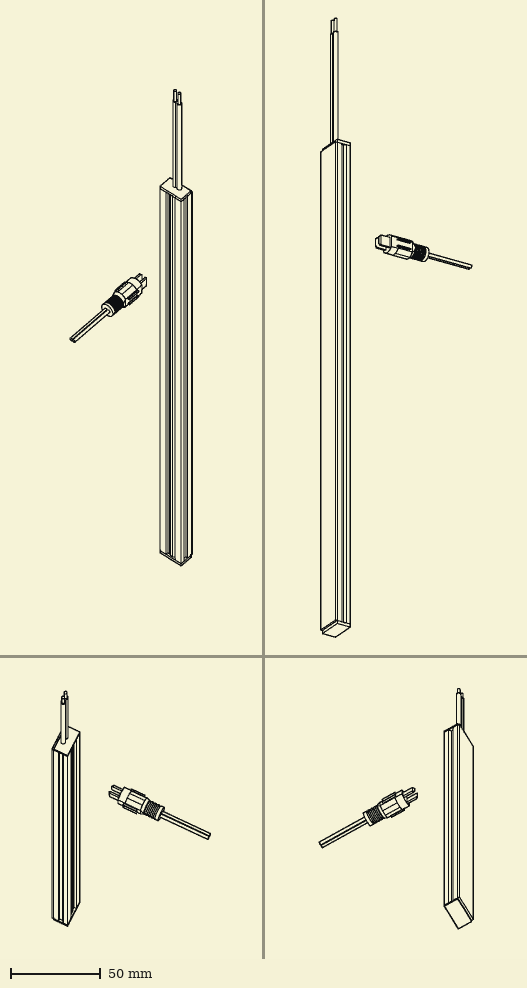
import cadquery as cq
import math

BAR_WIDTH = 15.5
BAR_DEPTH = 10.0
BAR_LENGTH = 300.0
CAP_THICKNESS = 2.0
COVER_THICKNESS = 1.0

FRONT_Y = -BAR_DEPTH / 2
BACK_Y = BAR_DEPTH / 2
SEAM_Y = BACK_Y - COVER_THICKNESS
PROFILE_LENGTH = BAR_LENGTH - 2 * CAP_THICKNESS

CHANNEL_HALF = 3.2
CHANNEL_DEPTH = 1.5
RIDGE_FOOT_HALF = 2.08
RIDGE_TOP_HALF = 0.8
RIDGE_HEIGHT = 0.53

GROOVE_BACK_Y = 0.8
GROOVE_FLOOR_WIDTH = 2.0
GROOVE_FLANK_WIDTH = 1.0
GROOVE_DEPTH = 1.32

OVERALL_LENGTH = 378.0
LEAD_Y = 0.87
LEAD_PITCH = 3.1
LEAD_RADIUS = 1.32
WIRE_RADIUS = 0.85
WIRE_LENGTH = 8.5
LEAD_TOP_Z = OVERALL_LENGTH - WIRE_LENGTH

PLUG_Z = 248.5
BLADE_TIP_Y = -27.5
BLADE_LENGTH = 6.8
NOSE_LENGTH = 4.5
GRIP_LENGTH = 9.5
CONE_LENGTH = 2.0
TAIL_LENGTH = 9.0
PLUG_CABLE_LENGTH = 30.0

NOSE_Y = BLADE_TIP_Y - BLADE_LENGTH
GRIP_Y = NOSE_Y - NOSE_LENGTH
CONE_Y = GRIP_Y - GRIP_LENGTH
TAIL_Y = CONE_Y - CONE_LENGTH
TAIL_END_Y = TAIL_Y - TAIL_LENGTH

NOSE_RADIUS = 5.3
FLAT_HALF = 4.0
TAIL_RADIUS = 4.0
GRIP_TOP_HALF = 1.5
GRIP_SHOULDER_Z = 3.0

WING_HALF_SPAN = 5.3
WING_LENGTH = 8.5
WING_OVERHANG = 0.8
WING_HEIGHT = 4.5
WING_RAIL = 0.45

RIB_GROOVES = 4
RIB_PITCH = 2.0
RIB_GROOVE_WIDTH = 0.95
RIB_GROOVE_DEPTH = 0.5
RIB_OFFSET = 0.5

BLADE_INNER_X = 1.5
BLADE_OUTER_X = 2.5
BLADE_HEIGHT = 6.0
BLADE_TIP_CHAMFER = 0.95

CABLE_PITCH = 2.0
CABLE_RADIUS = 0.95

WEB_RATIO = 0.6


def twin_outline(plane, pitch, radius):
    """Closed outline of two round cores side by side along X, joined by a thin web."""
    half_web = WEB_RATIO * radius
    reach = math.sqrt(radius**2 - half_web**2)
    core_x = pitch / 2
    joint_x = core_x - reach
    return (
        plane.moveTo(-joint_x, half_web)
        .lineTo(joint_x, half_web)
        .threePointArc((core_x + radius, 0), (joint_x, -half_web))
        .lineTo(-joint_x, -half_web)
        .threePointArc((-core_x - radius, 0), (-joint_x, half_web))
        .close()
    )


def make_profile():
    """Extruded section with the front channel and the two side grooves."""
    half_width = BAR_WIDTH / 2
    channel_y = FRONT_Y + CHANNEL_DEPTH
    ridge_y = channel_y - RIDGE_HEIGHT
    floor_x = half_width - GROOVE_DEPTH
    floor_front_y = GROOVE_BACK_Y - GROOVE_FLOOR_WIDTH
    right_half = [
        (RIDGE_TOP_HALF, ridge_y),
        (RIDGE_FOOT_HALF, channel_y),
        (CHANNEL_HALF, channel_y),
        (CHANNEL_HALF, FRONT_Y),
        (half_width, FRONT_Y),
        (half_width, floor_front_y - GROOVE_FLANK_WIDTH),
        (floor_x, floor_front_y),
        (floor_x, GROOVE_BACK_Y),
        (half_width, GROOVE_BACK_Y),
        (half_width, SEAM_Y),
    ]
    left_half = [(-x, y) for x, y in reversed(right_half)]
    base = cq.Workplane("XY").workplane(offset=CAP_THICKNESS)
    return base.polyline(right_half + left_half).close().extrude(PROFILE_LENGTH)


def make_cover():
    """Flat strip on the back of the profile."""
    cover = cq.Workplane("XY").box(BAR_WIDTH, COVER_THICKNESS, PROFILE_LENGTH, centered=(True, False, False))
    return cover.translate((0, SEAM_Y, CAP_THICKNESS))


def make_end_cap(bottom_z):
    """Plate that closes one end of the profile."""
    cap = cq.Workplane("XY").box(BAR_WIDTH, SEAM_Y - FRONT_Y, CAP_THICKNESS, centered=(True, False, False))
    return cap.translate((0, FRONT_Y, bottom_z))


def make_lead():
    plane = cq.Workplane("XY", origin=(0, LEAD_Y, BAR_LENGTH))
    return twin_outline(plane, LEAD_PITCH, LEAD_RADIUS).extrude(LEAD_TOP_Z - BAR_LENGTH)


def make_wire_end(side):
    plane = cq.Workplane("XY", origin=(side * LEAD_PITCH / 2, LEAD_Y, LEAD_TOP_Z))
    return plane.circle(WIRE_RADIUS).extrude(WIRE_LENGTH)


def plug_plane(y):
    """Sketch plane across the plug axis; extrusion runs toward the cable (-Y)."""
    return cq.Workplane("XZ", origin=(0, y, PLUG_Z))


def trim_flats(solid, front_y, length):
    """Cut a round section of the plug to a flat on each side."""
    return solid.intersect(plug_plane(front_y).rect(2 * FLAT_HALF, 2 * NOSE_RADIUS).extrude(length))


def make_nose():
    nose = plug_plane(NOSE_Y).circle(NOSE_RADIUS).extrude(NOSE_LENGTH)
    return trim_flats(nose, NOSE_Y, NOSE_LENGTH)


def make_grip():
    """Eight-sided section behind the nose."""
    corners = [(FLAT_HALF, GRIP_SHOULDER_Z), (GRIP_TOP_HALF, NOSE_RADIUS)]
    upper = corners + [(-x, z) for x, z in reversed(corners)]
    lower = [(-x, -z) for x, z in upper]
    return plug_plane(GRIP_Y).polyline(upper + lower).close().extrude(GRIP_LENGTH)


def make_wing_rails(side):
    """Two thin rails along one side of the plug, with a finger channel between them."""
    rail_x = side * (FLAT_HALF + WING_HALF_SPAN) / 2
    rail_z = (WING_HEIGHT - WING_RAIL) / 2
    rails = plug_plane(GRIP_Y + WING_OVERHANG).pushPoints([(rail_x, rail_z), (rail_x, -rail_z)])
    return rails.rect(WING_HALF_SPAN - FLAT_HALF, WING_RAIL).extrude(WING_LENGTH)


def make_blade(side):
    """Flat contact blade, chamfered at its tip on all edges but the inner one."""
    blade = cq.Workplane("XY").box(
        BLADE_OUTER_X - BLADE_INNER_X, BLADE_LENGTH, BLADE_HEIGHT, centered=(False, False, True)
    )
    blade = blade.faces(">Y").edges(">X or >Z or <Z").chamfer(BLADE_TIP_CHAMFER)
    blade = blade.translate((BLADE_INNER_X, NOSE_Y, PLUG_Z))
    return blade if side > 0 else blade.mirror("YZ")


def make_plug_housing():
    housing = make_nose().union(make_grip())
    for side in (-1, 1):
        housing = housing.union(make_wing_rails(side)).union(make_blade(side))
    return housing


def make_boot():
    """Strain relief behind the grip: a cone, then a round tail with ring grooves."""
    cone = plug_plane(CONE_Y).circle(NOSE_RADIUS).workplane(offset=CONE_LENGTH).circle(TAIL_RADIUS).loft()
    tail = plug_plane(TAIL_Y).circle(TAIL_RADIUS).extrude(TAIL_LENGTH)
    for index in range(RIB_GROOVES):
        groove_y = TAIL_Y - RIB_OFFSET - index * RIB_PITCH
        ring = plug_plane(groove_y).circle(NOSE_RADIUS).circle(TAIL_RADIUS - RIB_GROOVE_DEPTH)
        tail = tail.cut(ring.extrude(RIB_GROOVE_WIDTH))
    return trim_flats(cone, CONE_Y, CONE_LENGTH).union(tail)


def make_plug_cable():
    return twin_outline(plug_plane(TAIL_END_Y), CABLE_PITCH, CABLE_RADIUS).extrude(PLUG_CABLE_LENGTH)


end_caps = [make_end_cap(bottom_z) for bottom_z in (0, BAR_LENGTH - CAP_THICKNESS)]
wire_ends = [make_wire_end(side) for side in (-1, 1)]

result = cq.Compound.makeCompound([
    make_profile().val(),
    make_cover().val(),
    *[cap.val() for cap in end_caps],
    make_lead().val(),
    *[wire.val() for wire in wire_ends],
    make_plug_housing().val(),
    make_boot().val(),
    make_plug_cable().val(),
])